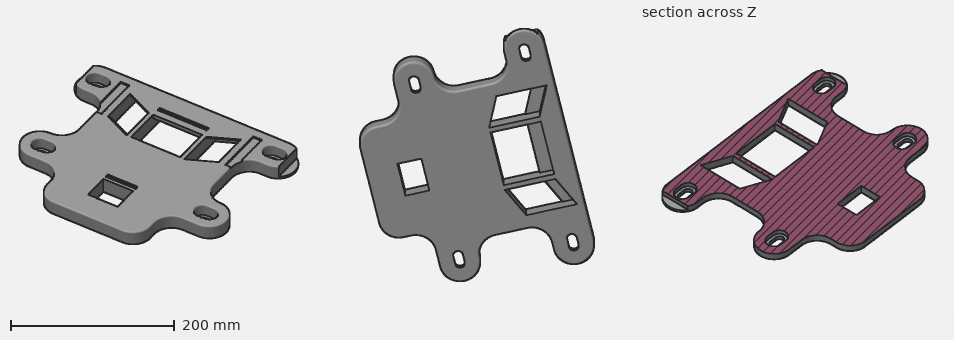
import cadquery as cq
import math

thickness = 21.0
half_length = 125.0
round_radius = 25.0
ear_width = 2 * round_radius
slot_travel = 10.0
lower_ear_center_x = 122.8
lower_ear_center_y = -40.6
upper_ear_center_x = lower_ear_center_x + slot_travel
upper_ear_center_y = half_length - round_radius
waist_half_width = lower_ear_center_x - round_radius
foot_half_width = 75.0
top_edge_round = 2.0
bottom_edge_round = 3.0

trim_half_width = 146.8
tab_thickness = 5.0

slot_width = 12.0
counterbore_width = 21.0
counterbore_floor_z = 5.0

bevel = 5.0
main_window_half_width = 35.4
main_window_top_y = 80.0
upper_window_height = 45.0
side_window_inner_x = 42.0
side_window_outer_x = 80.2
side_window_rise = 18.0
small_window_half_width = 21.4
small_window_top_y = -55.2
small_window_height = 30.0

undercut_reach = 18.3
main_undercut_ceiling_z = 15.0
side_undercut_ceiling_z = 18.5

recess_depth = 2.0
groove_width = 5.0
main_groove_gap = 10.0
small_groove_gap = 5.0
strip_inner_x = 89.8
strip_outer_x = 102.2
strip_bottom_y = 47.2
strip_top_y = 111.2


def arc_point(center_x, center_y, degrees):
    """Point of an outline round, at an angle from +X about its centre."""
    angle = math.radians(degrees)
    return (
        center_x + round_radius * math.cos(angle),
        center_y + round_radius * math.sin(angle),
    )


def half_outline():
    """Closed outline of the +X half of the plate."""
    r = round_radius
    upper_y = upper_ear_center_y
    lower_y = lower_ear_center_y
    fillet_x = waist_half_width + r
    foot_fillet_x = foot_half_width + r
    foot_corner_x = foot_half_width - r
    foot_corner_y = r - half_length
    upper_fillet_y = upper_y - ear_width
    lower_fillet_y = lower_y + ear_width
    foot_fillet_y = lower_y - ear_width
    return (
        cq.Workplane("XY")
        .moveTo(0, half_length)
        .lineTo(upper_ear_center_x, half_length)
        .threePointArc((upper_ear_center_x + r, upper_y), (upper_ear_center_x, upper_y - r))
        .lineTo(fillet_x, upper_y - r)
        .threePointArc(arc_point(fillet_x, upper_fillet_y, 135), (waist_half_width, upper_fillet_y))
        .lineTo(waist_half_width, lower_fillet_y)
        .threePointArc(arc_point(fillet_x, lower_fillet_y, 225), (fillet_x, lower_y + r))
        .threePointArc((lower_ear_center_x + r, lower_y), (lower_ear_center_x, lower_y - r))
        .lineTo(foot_fillet_x, lower_y - r)
        .threePointArc(arc_point(foot_fillet_x, foot_fillet_y, 135), (foot_half_width, foot_fillet_y))
        .lineTo(foot_half_width, foot_corner_y)
        .threePointArc(arc_point(foot_corner_x, foot_corner_y, -45), (foot_corner_x, -half_length))
        .lineTo(0, -half_length)
        .close()
    )


def slot_centers():
    """Centres of the four mounting slots, one in each ear."""
    upper_x = upper_ear_center_x - slot_travel / 2
    lower_x = lower_ear_center_x - slot_travel / 2
    return [
        (-upper_x, upper_ear_center_y),
        (upper_x, upper_ear_center_y),
        (-lower_x, lower_ear_center_y),
        (lower_x, lower_ear_center_y),
    ]


def mounting_slots(width, bottom_z):
    """Cutter for all four slots of one width, from bottom_z up to the top face."""
    return (
        cq.Workplane("XY")
        .workplane(offset=bottom_z)
        .pushPoints(slot_centers())
        .slot2D(slot_travel + width, width)
        .extrude(thickness - bottom_z)
    )


def make_plate():
    """Rounded plate with its four counterbored mounting slots."""
    half = half_outline().extrude(thickness)
    plate = half.union(half.mirror("YZ")).clean()
    plate = plate.faces("<Z").edges().fillet(bottom_edge_round)
    plate = plate.cut(mounting_slots(counterbore_width, counterbore_floor_z))
    plate = plate.faces(">Z").edges().fillet(top_edge_round)
    return plate.cut(mounting_slots(slot_width, 0))


def top_box(x_min, x_max, y_min, y_max, bottom_z):
    """Box from bottom_z up to the top face."""
    size = (x_max - x_min, y_max - y_min, thickness - bottom_z)
    return cq.Workplane("XY").box(*size, centered=False).translate((x_min, y_min, bottom_z))


def window_cutter(x_start, x_end, top_y, rise, height):
    """Through window between two X positions; its Y walls climb by rise from start to end."""

    def corners(lower_extension):
        bottom_y = top_y - height - lower_extension
        return [
            (x_start, top_y),
            (x_end, top_y + rise),
            (x_end, bottom_y + rise),
            (x_start, bottom_y),
        ]

    slope_angle = math.atan2(rise, x_end - x_start)
    bevel_along_y = bevel / math.cos(slope_angle)
    opening = cq.Workplane("XY").polyline(corners(0)).close().extrude(thickness)
    beveled_rim = (
        cq.Workplane("XY")
        .workplane(offset=thickness - bevel)
        .polyline(corners(0))
        .close()
        .workplane(offset=bevel)
        .polyline(corners(bevel_along_y))
        .close()
        .loft(ruled=True)
    )
    return opening.union(beveled_rim)


def undercut_cutter(x_start, x_end, top_y, rise, ceiling_z):
    """Space below ceiling_z that reaches beyond the +Y wall of a window."""
    corners = [
        (x_start, top_y),
        (x_end, top_y + rise),
        (x_end, top_y + rise + undercut_reach),
        (x_start, top_y + undercut_reach),
    ]
    return cq.Workplane("XY").polyline(corners).close().extrude(ceiling_z)


def groove_cutter(half_width, bottom_y):
    """Shallow groove across the centre line."""
    return top_box(-half_width, half_width, bottom_y, bottom_y + groove_width, thickness - recess_depth)


def cut_both_sides(part, cutter):
    return part.cut(cutter).cut(cutter.mirror("YZ"))


def trim_upper_ears(part):
    ear_end_x = upper_ear_center_x + round_radius
    trim = top_box(trim_half_width, ear_end_x, half_length - ear_width, half_length, tab_thickness)
    return cut_both_sides(part, trim)


def cut_main_window(part):
    place = (-main_window_half_width, main_window_half_width, main_window_top_y, 0)
    part = part.cut(window_cutter(*place, upper_window_height))
    part = part.cut(undercut_cutter(*place, main_undercut_ceiling_z))
    return part.cut(groove_cutter(main_window_half_width, main_window_top_y + main_groove_gap))


def cut_side_windows(part):
    place = (side_window_inner_x, side_window_outer_x, main_window_top_y, side_window_rise)
    part = cut_both_sides(part, window_cutter(*place, upper_window_height))
    return cut_both_sides(part, undercut_cutter(*place, side_undercut_ceiling_z))


def cut_small_window(part):
    place = (-small_window_half_width, small_window_half_width, small_window_top_y, 0)
    part = part.cut(window_cutter(*place, small_window_height))
    return part.cut(groove_cutter(small_window_half_width, small_window_top_y + small_groove_gap))


def cut_strip_recesses(part):
    """Long recesses beside the side windows, running out through the waist."""
    floor_z = thickness - recess_depth
    strip = top_box(strip_inner_x, strip_outer_x, strip_bottom_y, strip_top_y, floor_z)
    return cut_both_sides(part, strip)


result = make_plate()
result = trim_upper_ears(result)
result = cut_main_window(result)
result = cut_side_windows(result)
result = cut_small_window(result)
result = cut_strip_recesses(result)